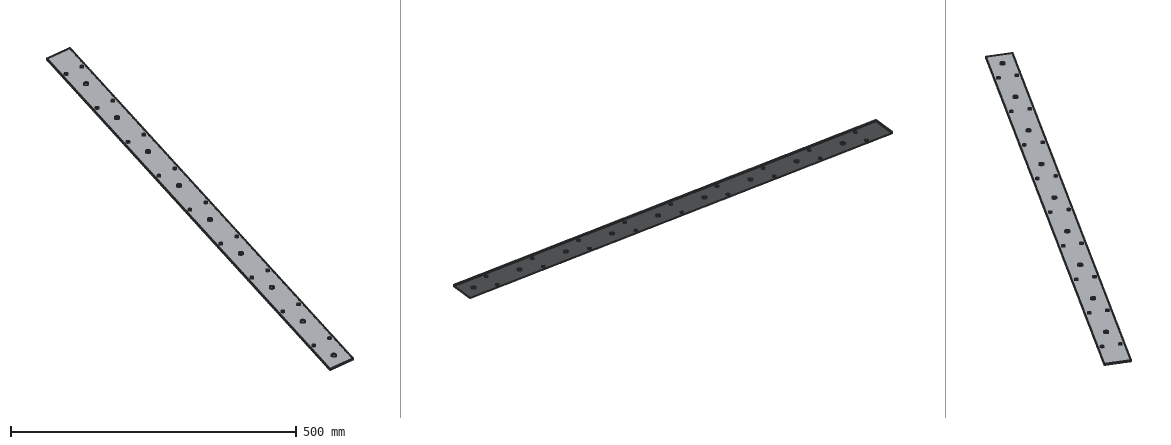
import cadquery as cq

length = 914.4
width = 48.0
thickness = 3.17

pitch = 100.0
holes_per_row = 9
row_length = (holes_per_row - 1) * pitch

centre_hole_diameter = 8.0
centre_row_right_margin = 25.0
centre_row_start = length / 2 - centre_row_right_margin - row_length

side_hole_diameter = 5.5
side_row_left_margin = 50.0
side_row_start = -length / 2 + side_row_left_margin
side_row_offset = 16.5


def hole_row(start_x, row_y, diameter):
    """Cutters for one row of evenly spaced through holes."""
    centres = [(start_x + i * pitch, row_y) for i in range(holes_per_row)]
    return cq.Workplane("XY").pushPoints(centres).circle(diameter / 2).extrude(thickness)


result = cq.Workplane("XY").box(length, width, thickness, centered=(True, True, False))
result = result.cut(hole_row(centre_row_start, 0, centre_hole_diameter))
for row_y in (-side_row_offset, side_row_offset):
    result = result.cut(hole_row(side_row_start, row_y, side_hole_diameter))